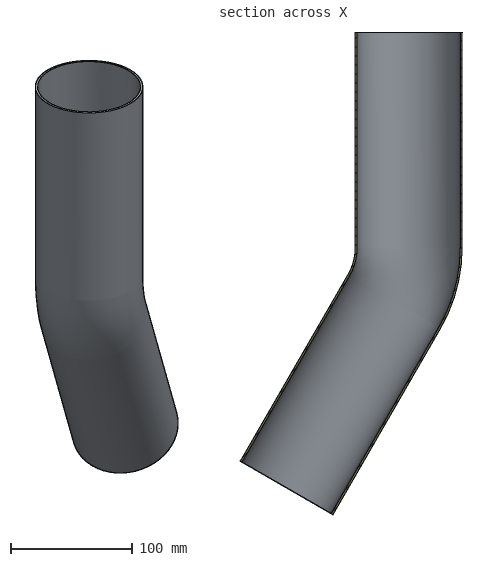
import cadquery as cq
import math

total_height = 398.5
outer_diameter = 89.0
inner_diameter = 85.0
bend_radius = 89.3
bend_angle = 30.0

angle = math.radians(bend_angle)
outer_bend_radius = bend_radius + outer_diameter / 2
leg_length = (total_height - outer_bend_radius * math.sin(angle)) / (1 + math.cos(angle))



def bend_point(turn):
    """Centreline point (Y, Z) after turning by the given angle in radians."""
    return (bend_radius * (1 - math.cos(turn)), -bend_radius * math.sin(turn))


bend_end_y, bend_end_z = bend_point(angle)
lower_end = (
    bend_end_y + leg_length * math.sin(angle),
    bend_end_z - leg_length * math.cos(angle),
)

centreline = (
    cq.Workplane("YZ")
    .moveTo(0, leg_length)
    .lineTo(0, 0)
    .threePointArc(bend_point(angle / 2), (bend_end_y, bend_end_z))
    .lineTo(*lower_end)
)

result = (
    cq.Workplane("XY", origin=(0, 0, leg_length))
    .circle(outer_diameter / 2)
    .circle(inner_diameter / 2)
    .sweep(centreline)
)